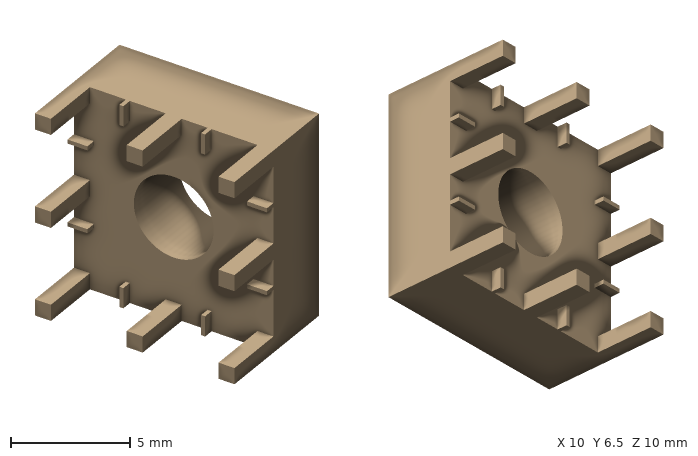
import cadquery as cq

side = 10.0
body_depth = 3.5
bore_diameter = 4.0

leg_width = 0.8
leg_length = 3.0

rib_thickness = 0.2
rib_length = 1.0
rib_height = 0.5
rib_offset_low = -2.3
rib_offset_high = 1.8

half_side = side / 2


def front_block(x, z, size_x, size_z, height):
    """Box centred at (x, z) that stands on the front face and reaches towards -Y."""
    return cq.Workplane("XY").box(size_x, height, size_z).translate((x, -height / 2, z))


def make_body():
    block = cq.Workplane("XY").box(side, body_depth, side).translate((0, body_depth / 2, 0))
    return block.faces("<Y").workplane(origin=(0, 0, 0)).hole(bore_diameter)


def add_legs(part):
    """Eight square legs: one at each corner and one midway along each edge."""
    reach = half_side - leg_width / 2
    for x in (-reach, 0, reach):
        for z in (-reach, 0, reach):
            if x == 0 and z == 0:
                continue
            part = part.union(front_block(x, z, leg_width, leg_width, leg_length))
    return part


def add_ribs(part):
    """Two thin ribs run inwards from each of the four edges."""
    reach = half_side - rib_length / 2
    for offset in (rib_offset_low, rib_offset_high):
        for edge in (-reach, reach):
            part = part.union(front_block(offset, edge, rib_thickness, rib_length, rib_height))
            part = part.union(front_block(edge, -offset, rib_length, rib_thickness, rib_height))
    return part


result = add_ribs(add_legs(make_body()))